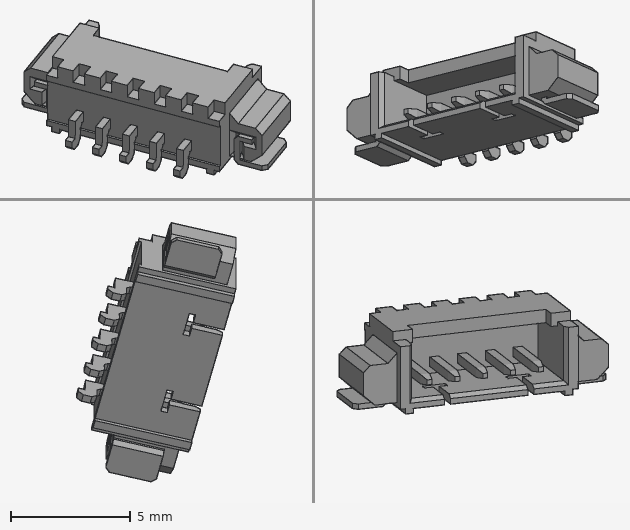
import cadquery as cq


body_width = 8.0
body_depth = 4.2
body_height = 3.4
half_width = body_width / 2
front_recess = 0.1
recess_bottom = 0.5
recess_top = 2.52

foot_inner = 3.41
foot_outer = 3.76
side_underside = 0.24
middle_underside = 0.2

wall = 0.58
rear_wall = 1.03
cavity_floor = 0.6
cavity_half_width = half_width - wall
cavity_ceiling = body_height - wall
mouth_flare = 0.15
mouth_flare_depth = 0.2
lip_height = 2.99
lip_start = 3.31
window_start = 2.72
window_half_width = 3.11
floor_slot_width = 0.27
floor_slot_start = 2.86
slot_head_width = 1.03
slot_head_start = 2.59

notch_size = wall
pin_notch_width = 0.52
corner_notch_width = 0.51

pin_count = 5
pin_row_span = 5.0
pin_pitch = pin_row_span / (pin_count - 1)
tail_width = 0.32
arm_top = 1.37
arm_bottom = 0.88
arm_end = -0.68
leg_slant = 0.02
leg_inner = -0.19
arm_corner = 0.17
toe_end = -1.0
toe_top = 0.51
toe_corner = 0.22
blade_start = 0.74
blade_size = 0.41
blade_tip_size = 0.22
blade_taper_start = 3.2
blade_end = 3.72

wing_front = 1.0
wing_back = 3.81
wing_outer = 5.52
wing_top_outer = 5.21
wing_top_inner = 4.41
wing_bottom_outer = 5.0
wing_root = 2.6
wing_top = 2.19
wing_shoulder = 1.9
wing_hip = 0.9
wing_bottom = 0.42

clip_back = 3.2
clip_outer = 5.7
clip_arm_outer = 5.04
clip_leg_outer = 4.48
clip_leg_inner = 4.22
clip_top = 1.54
clip_arm_bottom = 1.31
clip_foot_top = 0.35
clip_foot_bottom = 0.11
clip_bend = 0.18
clip_foot_chamfer = 0.19
funnel_size = 0.2
funnel_inner_bottom = 0.65


def block(x_range, y_range, z_range):
    """Axis-aligned box spanning the given ranges."""
    spans = (x_range, y_range, z_range)
    size = [high - low for low, high in spans]
    corner = tuple(low for low, high in spans)
    return cq.Workplane("XY").box(*size, centered=False).translate(corner)


def extrude_along_y(outline, y_start, y_end):
    """Prism of an (x, z) outline between two Y positions."""
    plane = cq.Workplane("XZ", origin=(0, y_start, 0))
    return plane.polyline(outline).close().extrude(y_start - y_end)


def extrude_along_x(outline, x_center, width):
    """Prism of a (y, z) outline centered on an X position."""
    plane = cq.Workplane("YZ", origin=(x_center, 0, 0))
    return plane.polyline(outline).close().extrude(width / 2, both=True)


def make_body():
    full_width = (-half_width, half_width)
    full_depth = (0, body_depth)
    body = block(full_width, full_depth, (0, body_height))
    body = body.cut(block(full_width, (0, front_recess), (recess_bottom, recess_top)))
    body = body.cut(block((-foot_inner, foot_inner), full_depth, (0, middle_underside)))
    for edge in ((-half_width, -foot_outer), (foot_outer, half_width)):
        body = body.cut(block(edge, full_depth, (0, side_underside)))
    return body


def make_cavity():
    """Plug opening, with a mouth flared at the sides and the floor."""
    flare_start = body_depth - mouth_flare_depth
    mouth_half_width = cavity_half_width + mouth_flare
    mouth_floor = cavity_floor - mouth_flare
    plan = [
        (-cavity_half_width, rear_wall),
        (-cavity_half_width, flare_start),
        (-mouth_half_width, body_depth),
        (mouth_half_width, body_depth),
        (cavity_half_width, flare_start),
        (cavity_half_width, rear_wall),
    ]
    profile = [
        (rear_wall, cavity_floor),
        (flare_start, cavity_floor),
        (body_depth, mouth_floor),
        (body_depth, body_height),
        (lip_start, body_height),
        (lip_start, cavity_ceiling),
        (rear_wall, cavity_ceiling),
    ]
    plan_prism = cq.Workplane("XY").polyline(plan).close().extrude(body_height)
    return plan_prism.intersect(extrude_along_x(profile, 0, body_width))


def cut_mating_side(body):
    body = body.cut(make_cavity())
    body = body.cut(
        block((-half_width, half_width), (lip_start, body_depth), (lip_height, body_height))
    )
    body = body.cut(
        block(
            (-window_half_width, window_half_width),
            (window_start, lip_start),
            (cavity_ceiling, body_height),
        )
    )
    slot_offset = (pin_row_span - pin_pitch) / 2
    for center in (-slot_offset, slot_offset):
        slot = (center - floor_slot_width / 2, center + floor_slot_width / 2)
        head = (center - slot_head_width / 2, center + slot_head_width / 2)
        body = body.cut(block(slot, (floor_slot_start, body_depth), (0, cavity_floor)))
        body = body.cut(block(head, (slot_head_start, floor_slot_start), (0, cavity_floor)))
    return body


def cut_front_notches(body):
    notches = [(x - pin_notch_width / 2, x + pin_notch_width / 2) for x in pin_positions]
    notches.append((-half_width, corner_notch_width - half_width))
    notches.append((half_width - corner_notch_width, half_width))
    for notch in notches:
        body = body.cut(block(notch, (0, notch_size), (body_height - notch_size, body_height)))
    return body


def make_pin(x_center):
    """Gull-shaped solder tail outside and a tapered square blade inside."""
    tail = extrude_along_x(
        [
            (rear_wall, arm_top),
            (arm_end, arm_top),
            (arm_end - leg_slant, toe_top),
            (toe_end, toe_top),
            (toe_end, toe_corner),
            (toe_end + toe_corner, 0),
            (leg_inner - toe_corner, 0),
            (leg_inner, toe_corner),
            (leg_inner, arm_bottom - arm_corner),
            (leg_inner + arm_corner, arm_bottom),
            (rear_wall, arm_bottom),
        ],
        x_center,
        tail_width,
    )
    blade_center = (arm_top + arm_bottom) / 2
    half_blade = blade_size / 2
    blade = block(
        (x_center - half_blade, x_center + half_blade),
        (blade_start, blade_taper_start),
        (blade_center - half_blade, blade_center + half_blade),
    )
    tip = (
        cq.Workplane("XZ", origin=(x_center, blade_taper_start, blade_center))
        .rect(blade_size, blade_size)
        .workplane(offset=blade_taper_start - blade_end)
        .rect(blade_tip_size, blade_tip_size)
        .loft(ruled=True)
    )
    return tail.union(blade).union(tip)


def make_wing():
    """Hook-shaped bracket on the -X side, before the clip is fitted."""
    outline = [
        (-half_width, wing_root),
        (-wing_top_inner, wing_top),
        (-wing_top_outer, wing_top),
        (-wing_outer, wing_shoulder),
        (-wing_outer, wing_hip),
        (-wing_bottom_outer, wing_bottom),
        (-half_width, wing_bottom),
    ]
    return extrude_along_y(outline, wing_front, wing_back)


def clip_slot_outline(margin):
    """Hooked (x, z) outline of the clip slot, grown outwards by a margin."""
    return [
        (-clip_arm_outer - margin, clip_top + margin),
        (-clip_leg_inner + margin, clip_top + margin),
        (-clip_leg_inner + margin, funnel_inner_bottom - margin),
        (-clip_leg_outer - margin, funnel_inner_bottom - margin),
        (-clip_leg_outer - margin, clip_arm_bottom - margin),
        (-clip_arm_outer - margin, clip_arm_bottom - margin),
    ]


def make_funnel():
    """45 degree lead-in around the front end of the clip slot."""
    return (
        cq.Workplane("XZ", origin=(0, wing_front, 0))
        .polyline(clip_slot_outline(funnel_size))
        .close()
        .workplane(offset=-funnel_size)
        .polyline(clip_slot_outline(0))
        .close()
        .loft(ruled=True)
    )


def make_clip():
    """Bent strip: arm in the wing, vertical leg, and solder foot pointing outwards."""
    outline = [
        (-clip_arm_outer, clip_top),
        (-clip_leg_inner - clip_bend, clip_top),
        (-clip_leg_inner, clip_top - clip_bend),
        (-clip_leg_inner, clip_foot_bottom + clip_bend),
        (-clip_leg_inner - clip_bend, clip_foot_bottom),
        (-clip_outer, clip_foot_bottom),
        (-clip_outer, clip_foot_top),
        (-clip_leg_outer, clip_foot_top),
        (-clip_leg_outer, clip_arm_bottom),
        (-clip_arm_outer, clip_arm_bottom),
    ]
    clip = extrude_along_y(outline, wing_front, clip_back)
    return clip.faces("<X").edges("|Z").chamfer(clip_foot_chamfer)


pin_positions = [(i - (pin_count - 1) / 2) * pin_pitch for i in range(pin_count)]

result = cut_front_notches(cut_mating_side(make_body()))
for pin_x in pin_positions:
    result = result.union(make_pin(pin_x))

left_wing = make_wing().cut(make_funnel()).union(make_clip())
result = result.union(left_wing).union(left_wing.mirror("YZ"))